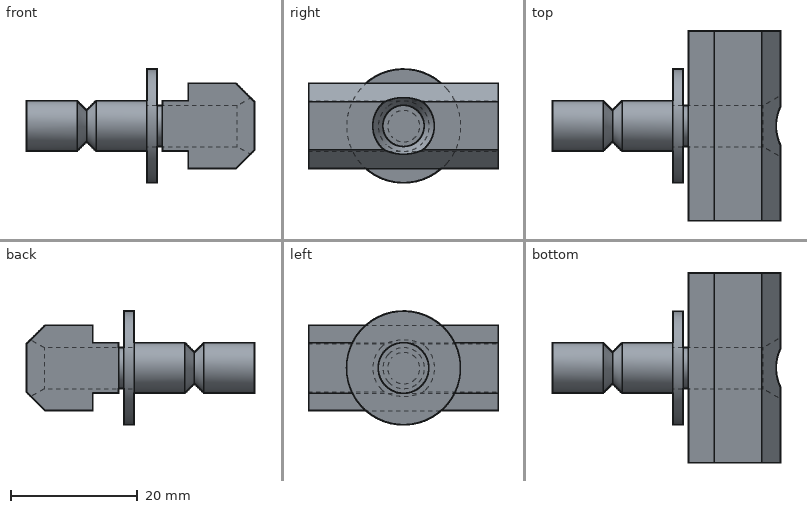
import cadquery as cq
import math

OVERALL_LENGTH = 36.0

SHANK_DIAMETER = 8.0
NECK_DIAMETER = 6.5
GROOVE_START = 8.0
GROOVE_ROOT_DIAMETER = 5.0
SHANK_LENGTH = 19.0

WASHER_DIAMETER = 18.0
WASHER_THICKNESS = 1.62

NUT_WIDTH = 30.0
NUT_HEIGHT = 13.5
NUT_START = 21.45
TONGUE_HEIGHT = SHANK_DIAMETER
TONGUE_LENGTH = 4.05
NUT_CHAMFER = 2.95
COUNTERSINK_DIAMETER = 9.72
COUNTERSINK_ANGLE = 60.0

COUNTERSINK_DEPTH = (
    (COUNTERSINK_DIAMETER - NECK_DIAMETER) / 2 / math.tan(math.radians(COUNTERSINK_ANGLE / 2))
)
STUD_LENGTH = OVERALL_LENGTH - COUNTERSINK_DEPTH


def make_stud():
    """Stepped stud with a V-shaped locking groove around the shank."""
    shank_radius = SHANK_DIAMETER / 2
    neck_radius = NECK_DIAMETER / 2
    root_radius = GROOVE_ROOT_DIAMETER / 2
    groove_depth = shank_radius - root_radius
    return (
        cq.Workplane("XY")
        .moveTo(0, 0)
        .lineTo(0, shank_radius)
        .lineTo(GROOVE_START, shank_radius)
        .lineTo(GROOVE_START + groove_depth, root_radius)
        .lineTo(GROOVE_START + 2 * groove_depth, shank_radius)
        .lineTo(SHANK_LENGTH, shank_radius)
        .lineTo(SHANK_LENGTH, neck_radius)
        .lineTo(STUD_LENGTH, neck_radius)
        .lineTo(STUD_LENGTH, 0)
        .close()
        .revolve(360, (0, 0, 0), (1, 0, 0))
    )


def make_washer():
    """Flat washer around the neck of the stud."""
    return (
        cq.Workplane("YZ", origin=(SHANK_LENGTH, 0, 0))
        .circle(WASHER_DIAMETER / 2)
        .circle(NECK_DIAMETER / 2)
        .extrude(WASHER_THICKNESS)
    )


def make_nut_bore():
    """Volume removed from the nut: the stud bore and its conical countersink."""
    bore_radius = NECK_DIAMETER / 2
    return (
        cq.Workplane("XY")
        .moveTo(NUT_START, 0)
        .lineTo(NUT_START, bore_radius)
        .lineTo(STUD_LENGTH, bore_radius)
        .lineTo(OVERALL_LENGTH, COUNTERSINK_DIAMETER / 2)
        .lineTo(OVERALL_LENGTH, 0)
        .close()
        .revolve(360, (0, 0, 0), (1, 0, 0))
    )


def make_nut():
    """T-shaped bar with a narrow tongue towards the washer and chamfered far edges."""
    shoulder = NUT_START + TONGUE_LENGTH
    half_height = NUT_HEIGHT / 2
    half_tongue = TONGUE_HEIGHT / 2
    upper_profile = [
        (NUT_START, 0),
        (NUT_START, half_tongue),
        (shoulder, half_tongue),
        (shoulder, half_height),
        (OVERALL_LENGTH - NUT_CHAMFER, half_height),
        (OVERALL_LENGTH, half_height - NUT_CHAMFER),
        (OVERALL_LENGTH, 0),
    ]
    bar = (
        cq.Workplane("XZ")
        .polyline(upper_profile)
        .mirrorX()
        .extrude(NUT_WIDTH / 2, both=True)
    )
    return bar.cut(make_nut_bore()).solids()


stud = make_stud()
washer = make_washer()
nut = make_nut()

result = cq.Compound.makeCompound([stud.val(), washer.val(), nut.val()])